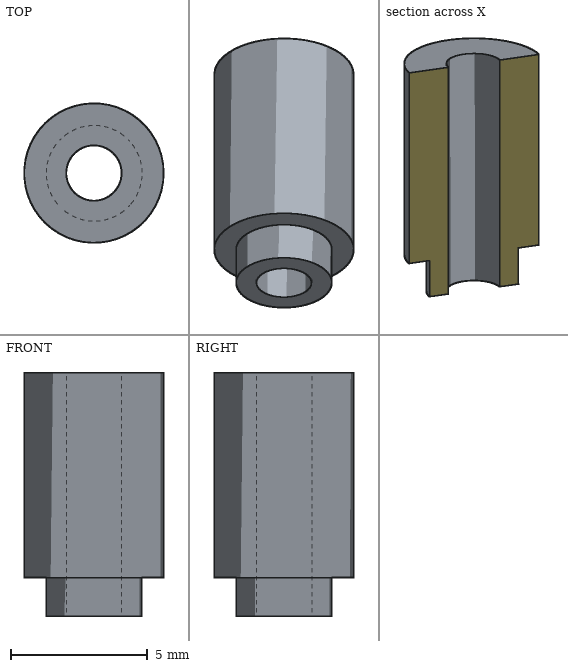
import cadquery as cq

total_height = 8.9
spigot_height = 1.415
body_diameter = 5.1
spigot_diameter = 3.5
bore_diameter = 2.01

body_height = total_height - spigot_height

spigot = cq.Workplane("XY").circle(spigot_diameter / 2).extrude(spigot_height)

body = (
    cq.Workplane("XY")
    .workplane(offset=spigot_height)
    .circle(body_diameter / 2)
    .extrude(body_height)
)

bore = cq.Workplane("XY").circle(bore_diameter / 2).extrude(total_height)

result = spigot.union(body).cut(bore)